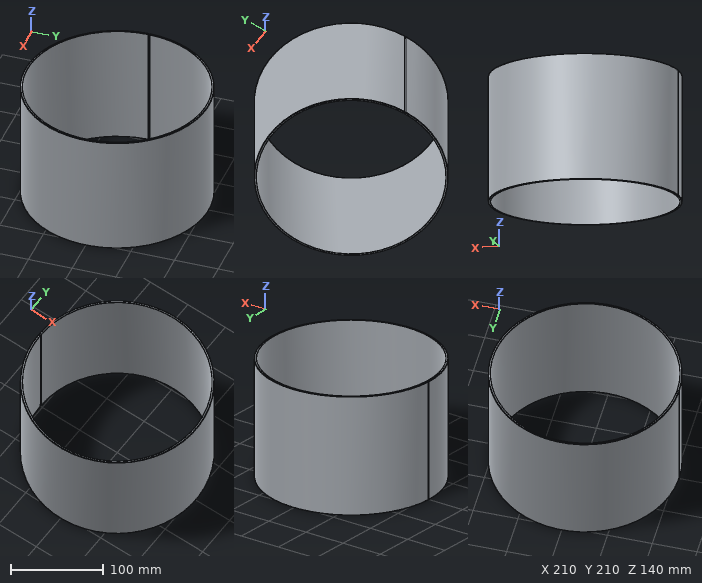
import cadquery as cq

OUTER_DIAMETER = 210.0
HEIGHT = 140.0
WALL = 2.5
OUTER_CHAMFER = 0.5
INNER_CHAMFER = 0.2
SLIT_ANGLE = 1.0
FULL_TURN = 360.0

outer_radius = OUTER_DIAMETER / 2
wall_middle_radius = outer_radius - WALL / 2


def wall_section():
    """Upright wall section on the -X side, chamfered at its outer and inner corners."""
    return (
        cq.Sketch()
        .push([(-wall_middle_radius, HEIGHT / 2)])
        .rect(WALL, HEIGHT)
        .reset()
        .vertices("<X")
        .chamfer(OUTER_CHAMFER)
        .reset()
        .vertices(">X")
        .chamfer(INNER_CHAMFER)
    )


def split_sleeve():
    """Sleeve swept from -X by way of -Y, stopping short of a full turn to leave the slit."""
    return (
        cq.Workplane("XZ")
        .placeSketch(wall_section())
        .revolve(FULL_TURN - SLIT_ANGLE, (0, 0, 0), (0, 1, 0))
    )


result = split_sleeve()